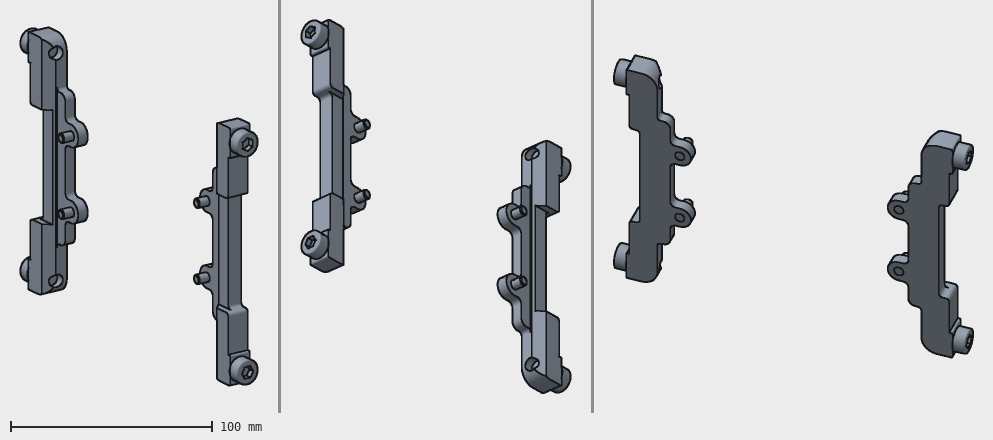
import cadquery as cq

overall_length = 186.0
height = 136.0
thickness = 11.9
half_height = height / 2
front_y = -thickness / 2
back_y = thickness / 2

head_diameter = 13.0
head_length = 6.5
head_edge_radius = 0.7
hex_across_flats = 6.0
hex_depth = 3.3
shank_diameter = 6.9
shank_length = 11.9
screw_z = 60.0

pad_x = -overall_length / 2 + head_length
pad_step = 1.7
block_x = pad_x + pad_step
bar_x = -79.2
inner_x = -70.0
pad_end_z = 51.9
block_end_z = 30.1
bar_front_y = -2.0
bevel = 5.0
pad_corner_radius = 1.0
block_corner_radius = 2.0
end_corner_radius = 8.4

flange_x = -63.0
flange_half_height = 40.2
flange_front_y = 0.0
flange_middle_y = (flange_front_y + back_y) / 2
flange_corner_radius = 3.9
flange_root_radius = 1.9
lug_radius = 6.0
lug_root_radius = 2.8

pin_x = -58.0
pin_z = 20.0
pin_diameter = 5.0
pin_tip_y = -head_diameter / 2
pin_tip_chamfer = 0.5


def sketch_on_back(x, z):
    """Sketch plane on the back face, centred at (x, z) and extruding toward the front."""
    return cq.Workplane("XZ", origin=(x, back_y, z))


def round_edges(body, x, y, z_places, radius):
    """Round the edges parallel to Y that pass through (x, y, z) for each z."""
    for z in z_places:
        edge = cq.selectors.NearestToPointSelector((x, y, z))
        body = body.edges("|Y").edges(edge).fillet(radius)
    return body


def make_bar():
    """Upright bar: thick end blocks with screw pads, slimmer between the blocks."""
    upper_outline = [
        (inner_x, half_height),
        (pad_x, half_height),
        (pad_x, pad_end_z),
        (block_x, pad_end_z),
        (block_x, block_end_z),
        (bar_x, block_end_z),
    ]
    lower_outline = [(x, -z) for x, z in reversed(upper_outline)]
    bar = (
        sketch_on_back(0, 0)
        .polyline(upper_outline + lower_outline)
        .close()
        .extrude(thickness)
    )
    for x, z, radius in [
        (inner_x, half_height, end_corner_radius),
        (pad_x, half_height, pad_corner_radius),
        (pad_x, pad_end_z, pad_corner_radius),
        (block_x, block_end_z, block_corner_radius),
        (bar_x, block_end_z, block_corner_radius),
    ]:
        bar = round_edges(bar, x, 0, (z, -z), radius)

    bevel_cut = (
        cq.Workplane("XY", origin=(0, 0, -half_height))
        .moveTo(inner_x, front_y)
        .lineTo(inner_x - bevel, front_y)
        .lineTo(inner_x, front_y + bevel)
        .close()
        .extrude(height)
    )
    front_recess = (
        cq.Workplane("XY", origin=(pad_x, front_y, 0))
        .box(inner_x - pad_x, bar_front_y - front_y, 2 * block_end_z, centered=(False, False, True))
    )
    return bar.cut(bevel_cut).cut(front_recess)


def make_flange():
    """Plate along the inner side of the bar, with a round-ended lug for each pin."""
    depth = back_y - flange_front_y
    plate_width = flange_x - inner_x
    flange = (
        sketch_on_back(inner_x + plate_width / 2, 0)
        .rect(plate_width, 2 * flange_half_height)
        .extrude(depth)
    )
    neck_length = pin_x - flange_x
    for z in (pin_z, -pin_z):
        neck = (
            sketch_on_back(flange_x + neck_length / 2, z)
            .rect(neck_length, 2 * lug_radius)
            .extrude(depth)
        )
        tip = sketch_on_back(pin_x, z).circle(lug_radius).extrude(depth)
        flange = flange.union(neck).union(tip)

    lug_roots = [side * pin_z + edge * lug_radius for side in (1, -1) for edge in (1, -1)]
    flange = round_edges(flange, flange_x, flange_middle_y, lug_roots, lug_root_radius)
    corners = (flange_half_height, -flange_half_height)
    return round_edges(flange, flange_x, flange_middle_y, corners, flange_corner_radius)


def make_bracket():
    """Bar and flange in one piece, with through holes for the screws and the pins."""
    bracket = make_bar().union(make_flange())
    roots = (flange_half_height, -flange_half_height)
    bracket = round_edges(bracket, inner_x, flange_middle_y, roots, flange_root_radius)
    for side in (1, -1):
        screw_hole = (
            cq.Workplane("YZ", origin=(pad_x, 0, side * screw_z))
            .circle(shank_diameter / 2)
            .extrude(inner_x - pad_x)
        )
        pin_hole = (
            sketch_on_back(pin_x, side * pin_z)
            .circle(pin_diameter / 2)
            .extrude(thickness)
        )
        bracket = bracket.cut(screw_hole).cut(pin_hole)
    return bracket.val()


def make_screw(z, hex_turn):
    """Socket head screw along X; hex_turn is the rotation of its hexagon socket."""
    head = (
        cq.Workplane("YZ", origin=(pad_x - head_length, 0, z))
        .circle(head_diameter / 2)
        .extrude(head_length)
        .faces("<X")
        .edges()
        .fillet(head_edge_radius)
    )
    shank = (
        cq.Workplane("YZ", origin=(pad_x, 0, z))
        .circle(shank_diameter / 2)
        .extrude(shank_length)
    )
    socket = (
        cq.Workplane("YZ", origin=(pad_x - head_length, 0, z))
        .transformed(rotate=(0, 0, hex_turn))
        .polygon(6, hex_across_flats, circumscribed=True)
        .extrude(hex_depth)
    )
    return head.union(shank).cut(socket).val()


def make_pin(z):
    """Pin along Y, flush with the back of its lug and chamfered at its front tip."""
    pin = (
        sketch_on_back(pin_x, z)
        .circle(pin_diameter / 2)
        .extrude(back_y - pin_tip_y)
        .faces("<Y")
        .chamfer(pin_tip_chamfer)
    )
    return pin.val()


corner_up = 0
flat_up = 30
left_bodies = [make_bracket()]
for z, hex_turn in ((screw_z, corner_up), (-screw_z, flat_up)):
    left_bodies.append(make_screw(z, hex_turn))
for z in (pin_z, -pin_z):
    left_bodies.append(make_pin(z))

right_bodies = [body.mirror("YZ") for body in left_bodies]

result = cq.Compound.makeCompound([*left_bodies, *right_bodies])